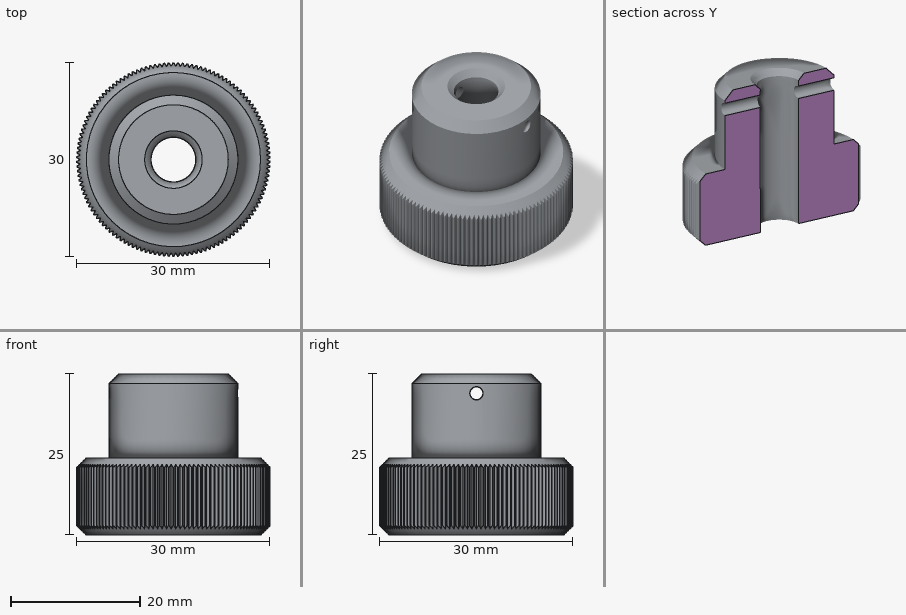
import cadquery as cq
import math

HEAD_DIAMETER = 30.0
HEAD_HEIGHT = 12.0

HUB_DIAMETER = 20.0
TOTAL_HEIGHT = 25.0

EDGE_CHAMFER = 1.5

TOOTH_COUNT = 130
TOOTH_DEPTH = 0.5
GROOVE_ANGLE = math.radians(60)
FIRST_TOOTH_ANGLE = math.pi / 2

BORE_DIAMETER = 6.917
BORE_CHAMFER = 1.0

PIN_DIAMETER = 2.0
PIN_DROP = 3.0


def polar_point(radius, angle):
    return (radius * math.cos(angle), radius * math.sin(angle))


def toothed_prism():
    """Full-height prism with narrow flat crests and V roots around the rim."""
    crest_radius = HEAD_DIAMETER / 2
    root_radius = crest_radius - TOOTH_DEPTH
    pitch = 2 * math.pi / TOOTH_COUNT
    groove_width = 2 * TOOTH_DEPTH * math.tan(GROOVE_ANGLE / 2)
    half_crest = (pitch - groove_width / crest_radius) / 2
    outline = []
    for tooth in range(TOOTH_COUNT):
        crest_angle = FIRST_TOOTH_ANGLE + tooth * pitch
        outline.append(polar_point(crest_radius, crest_angle - half_crest))
        outline.append(polar_point(crest_radius, crest_angle + half_crest))
        outline.append(polar_point(root_radius, crest_angle + pitch / 2))
    return cq.Workplane("XY").polyline(outline).close().extrude(HEAD_HEIGHT)


def knurled_head():
    """Toothed prism trimmed by a disc chamfered at both ends."""
    chamfered_disc = (
        cq.Workplane("XY")
        .circle(HEAD_DIAMETER / 2)
        .extrude(HEAD_HEIGHT)
        .edges()
        .chamfer(EDGE_CHAMFER)
    )
    return chamfered_disc.intersect(toothed_prism())


def hub():
    """Plain cylinder from the base to the top, chamfered at the top."""
    return (
        cq.Workplane("XY")
        .circle(HUB_DIAMETER / 2)
        .extrude(TOTAL_HEIGHT)
        .faces(">Z")
        .edges()
        .chamfer(EDGE_CHAMFER)
    )


def bore():
    """Through bore, widened by a chamfer at the top."""
    bore_radius = BORE_DIAMETER / 2
    mouth_radius = bore_radius + BORE_CHAMFER
    half_section = [
        (0, 0),
        (bore_radius, 0),
        (bore_radius, TOTAL_HEIGHT - BORE_CHAMFER),
        (mouth_radius, TOTAL_HEIGHT),
        (0, TOTAL_HEIGHT),
    ]
    return cq.Workplane("XZ").polyline(half_section).close().revolve(360, (0, 0), (0, 1))


def pin_hole():
    """Cross hole through both walls of the hub."""
    return (
        cq.Workplane("YZ")
        .center(0, TOTAL_HEIGHT - PIN_DROP)
        .circle(PIN_DIAMETER / 2)
        .extrude(HUB_DIAMETER / 2, both=True)
    )


result = knurled_head().union(hub()).cut(bore()).cut(pin_hole())